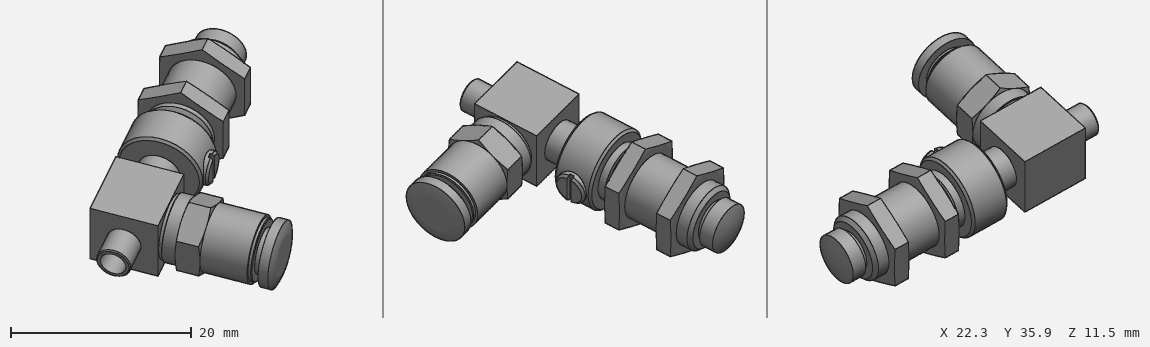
import cadquery as cq
import math


thread_dia = 8.0
rod_dia = 5.0
nut_flats = 10.0

stub_dia = 4.0
stub_end_y = -7.55
stub_chamfer = 0.15
bore_dia = 3.0
bore_end_y = 0.0
block_width = thread_dia
block_front_y = -block_width / 2
block_back_y = 4.5

collar_dia = nut_flats
collar_length = 5.0
collar_front_y = 7.55
collar_back_y = collar_front_y + collar_length
collar_chamfer = 0.3
screw_dia = 4.0
screw_end_x = 5.53
screw_chamfer = 0.3
screw_y = collar_front_y + collar_length / 2
slot_width = 0.55
slot_depth = 0.55

barrel_neck_dia = 7.07
barrel_chamfer = (thread_dia - barrel_neck_dia) / 2
barrel_front_y = 13.45
barrel_back_y = 25.5

cap_dia = 6.0
cap_front_y = 26.03
dome_start_y = 27.8
cap_end_y = 28.35

nut_thickness = 2.0
nut_front_y = [14.5, 21.55]
nut_chamfer_depth = 0.07

fitting_dia = thread_dia
fitting_neck_dia = 7.6
fitting_start_x = 4.4
fitting_end_x = 14.45
hex_start_x = 6.0
hex_length = 2.95
hex_flats = thread_dia
hex_chamfer_depth = 0.18
step_dia = 7.4
step_end_dia = 7.18
step_end_x = 14.9
step_chamfer_length = 0.1
ring_neck_dia = 5.4
ring_start_x = 15.75
ring_root_chamfer = 0.18
ring_round_x = 16.9
ring_end_x = 17.3
ring_mid_radius = 3.4
ring_mid_x = 17.15
ring_face_radius = 2.5


def rod_along_y(diameter, start_y, end_y):
    """Cylinder on the Y axis."""
    return cq.Workplane("XZ", origin=(0, start_y, 0)).circle(diameter / 2).extrude(start_y - end_y)


def rod_along_x(diameter, start_x, end_x):
    """Cylinder on the X axis."""
    return cq.Workplane("YZ", origin=(start_x, 0, 0)).circle(diameter / 2).extrude(end_x - start_x)


def chamfered_hexagon(flats, thickness, chamfer_depth):
    """Hexagon along +Z, corners on local X, each end turned down to the flats circle."""
    flats_radius = flats / 2
    corner_radius = flats_radius / math.cos(math.pi / 6)
    prism = cq.Workplane("XY").polygon(6, 2 * corner_radius).extrude(thickness)
    turned_envelope = (
        cq.Workplane("XZ")
        .moveTo(0, 0)
        .lineTo(flats_radius, 0)
        .lineTo(corner_radius, chamfer_depth)
        .lineTo(corner_radius, thickness - chamfer_depth)
        .lineTo(flats_radius, thickness)
        .lineTo(0, thickness)
        .close()
        .revolve(360, (0, 0), (0, 1))
    )
    return prism.intersect(turned_envelope)


def make_stub():
    """Hose stub on the front of the block."""
    return rod_along_y(stub_dia, stub_end_y, block_front_y).faces("<Y").chamfer(stub_chamfer)


def make_block():
    """Plain elbow block."""
    length = block_back_y - block_front_y
    middle_y = (block_back_y + block_front_y) / 2
    return cq.Workplane("XY").box(block_width, length, block_width).translate((0, middle_y, 0))


def make_collar():
    """Collar with a slotted, chamfered screw head standing out on +X."""
    collar = rod_along_y(collar_dia, collar_front_y, collar_back_y)
    collar = collar.faces("<Y or >Y").chamfer(collar_chamfer)
    screw = rod_along_x(screw_dia, 0, screw_end_x).faces(">X").chamfer(screw_chamfer)
    slot = (
        cq.Workplane("XY")
        .box(slot_depth, slot_width, screw_dia)
        .translate((screw_end_x - slot_depth / 2, 0, 0))
    )
    return collar.union(screw.cut(slot).translate((0, screw_y, 0)))


def make_barrel():
    """Threaded barrel, chamfered at both ends, with a thinner neck into the collar."""
    barrel = rod_along_y(thread_dia, barrel_front_y, barrel_back_y)
    barrel = barrel.faces("<Y or >Y").chamfer(barrel_chamfer)
    return barrel.union(rod_along_y(barrel_neck_dia, collar_back_y, barrel_front_y))


def make_cap():
    """Cap with a domed end."""
    cap_radius = cap_dia / 2
    dome_height = cap_end_y - dome_start_y
    sphere_radius = (cap_radius**2 + dome_height**2) / (2 * dome_height)
    sphere = cq.Workplane("XY").sphere(sphere_radius).translate((0, cap_end_y - sphere_radius, 0))
    return rod_along_y(cap_dia, cap_front_y, cap_end_y).intersect(sphere)


def make_fitting():
    """Turned hose fitting with a hexagon and a release ring at its outer end."""
    neck = rod_along_x(fitting_neck_dia, 0, fitting_start_x)
    body = rod_along_x(fitting_dia, fitting_start_x, fitting_end_x)
    hexagon = (
        chamfered_hexagon(hex_flats, hex_length, hex_chamfer_depth)
        .rotate((0, 0, 0), (0, 1, 0), 90)
        .translate((hex_start_x, 0, 0))
    )
    ring = (
        cq.Workplane("XY")
        .moveTo(fitting_end_x, 0)
        .lineTo(fitting_end_x, step_dia / 2)
        .lineTo(step_end_x - step_chamfer_length, step_dia / 2)
        .lineTo(step_end_x, step_end_dia / 2)
        .lineTo(step_end_x, ring_neck_dia / 2)
        .lineTo(ring_start_x - ring_root_chamfer, ring_neck_dia / 2)
        .lineTo(ring_start_x, ring_neck_dia / 2 + ring_root_chamfer)
        .lineTo(ring_start_x, fitting_dia / 2)
        .lineTo(ring_round_x, fitting_dia / 2)
        .threePointArc((ring_mid_x, ring_mid_radius), (ring_end_x, ring_face_radius))
        .lineTo(ring_end_x, 0)
        .close()
        .revolve(360, (0, 0), (1, 0))
    )
    return neck.union(body).union(hexagon).union(ring)


def make_holder():
    """Stub, block, collar, barrel, cap and fitting as one solid, with the stub bore."""
    rod = rod_along_y(rod_dia, block_back_y, collar_front_y)
    cap_neck = rod_along_y(rod_dia, barrel_back_y, cap_front_y)
    holder = make_block()
    for section in (make_stub(), rod, make_collar(), make_barrel(), cap_neck, make_cap(), make_fitting()):
        holder = holder.union(section)
    return holder.cut(rod_along_y(bore_dia, stub_end_y, bore_end_y))


def make_nut(front_y):
    """Hexagon nut with corners on Z, its hole filled by the barrel."""
    nut = (
        chamfered_hexagon(nut_flats, nut_thickness, nut_chamfer_depth)
        .faces(">Z")
        .workplane()
        .hole(thread_dia)
    )
    upright = nut.rotate((0, 0, 0), (0, 0, 1), 90).rotate((0, 0, 0), (1, 0, 0), -90)
    return upright.translate((0, front_y, 0))


holder = make_holder()
nuts = [make_nut(front_y) for front_y in nut_front_y]

result = cq.Compound.makeCompound([holder.solids().val(), *[nut.solids().val() for nut in nuts]])